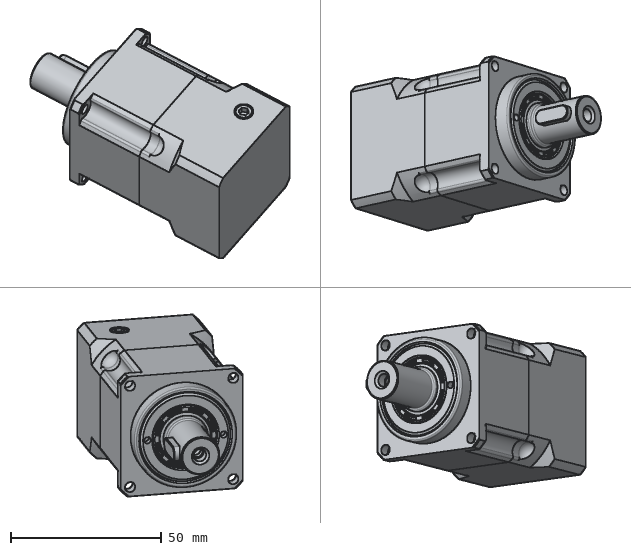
import cadquery as cq
import math


total_length = 86.0
body_width = 42.0

shaft_shoulder_x = 19.5
pilot_front_x = 20.55
flange_front_x = 26.0
flange_back_x = 29.8
housing_joint_x = 53.9
cone_start_x = 66.0
cone_end_x = 68.45

corner_radius = 28.0
waist_radius = 24.5
corner_chamfer = 0.35
pilot_radius = 17.55
pilot_fillet = 0.6

bolt_circle_radius = 25.0
bolt_hole_radius = 1.7
channel_radius = 3.5
channel_edge_radius = 0.9
channel_end_x = 57.4
bolt_offset = bolt_circle_radius / math.sqrt(2)

nut_radius = 15.5
nut_front_x = 20.6
nut_chamfer_width = 0.9
nut_chamfer_depth = 0.5
nut_seat_chamfer = 0.5
nut_bore_radius = 11.0
nut_bore_chamfer = 0.5
spanner_hole_radius = 1.1
spanner_hole_offset = 13.1
spanner_hole_depth = 2.6

seal_front_x = 20.8
seal_chamfer = 0.5
seal_pocket_outer_radius = 10.2
seal_pocket_inner_radius = 9.55
seal_pocket_depth = 0.9
seal_pocket_count = 8
seal_rib_angle = 15.0
seal_bore_radius = 8.7
seal_bore_chamfer = 0.35
seal_lip_rise = 0.3

shaft_radius = 6.5
shaft_chamfer = 0.35
shaft_fillet = 0.5
journal_fillet = 0.5
journal_radius = shaft_radius + shaft_fillet + journal_fillet
center_hole_mouth_radius = 3.0
center_hole_radius = 2.15
center_hole_depth = 4.3
drill_radius = 1.7
drill_depth = 6.9
drill_point_depth = 1.0

key_width = 5.0
key_height = 5.0
key_start_x = 2.3
key_length = 14.0
key_top_y = 8.5
key_chamfer = 0.3

plug_x = 75.6
plug_y = 9.0
plug_radius = 3.0
plug_length = 5.2
plug_chamfer = 0.35
plug_hole_chamfer = 0.2
plug_hex_across_flats = 3.0
plug_hex_depth = 2.15
plug_hex_turn = 85.0

SHAFT_END = (0, 0, 0)
SHAFT_AXIS = (1, 0, 0)
half_width = body_width / 2


def turned(profile_points):
    """Solid turned about the X axis from (x, radius) points."""
    return cq.Workplane("XY").polyline(profile_points).close().revolve(360, SHAFT_END, SHAFT_AXIS)


def disc(start_x, end_x, radius):
    """Cylinder on the X axis."""
    return cq.Workplane("YZ", origin=(start_x, 0, 0)).circle(radius).extrude(end_x - start_x)


def square_block(start_x, end_x):
    """Square bar on the X axis."""
    length = end_x - start_x
    return cq.Workplane("YZ", origin=(start_x, 0, 0)).rect(body_width, body_width).extrude(length)


def corner_channel():
    """Screw channel with rounded long edges, for the +Y +Z corner."""
    arc_center_distance = waist_radius - channel_edge_radius
    tangent_distance = channel_radius + channel_edge_radius
    center_out = (arc_center_distance**2 + bolt_circle_radius**2 - tangent_distance**2) / (
        2 * bolt_circle_radius
    )
    center_side = math.sqrt(arc_center_distance**2 - center_out**2)

    waist_scale = waist_radius / arc_center_distance
    waist_point = (center_out * waist_scale, center_side * waist_scale)
    channel_share = channel_radius / tangent_distance
    channel_point = (
        bolt_circle_radius + (center_out - bolt_circle_radius) * channel_share,
        center_side * channel_share,
    )
    toward_middle = (
        (waist_point[0] + channel_point[0]) / 2 - center_out,
        (waist_point[1] + channel_point[1]) / 2 - center_side,
    )
    middle_scale = channel_edge_radius / math.hypot(*toward_middle)
    arc_middle = (
        center_out + toward_middle[0] * middle_scale,
        center_side + toward_middle[1] * middle_scale,
    )
    bottom = (bolt_circle_radius - channel_radius, 0)
    clear_of_body = corner_radius + 0.9

    def mirrored(point):
        return (point[0], -point[1])

    section = (
        cq.Workplane("YZ", origin=(flange_back_x, 0, 0))
        .moveTo(clear_of_body, waist_point[1])
        .lineTo(*waist_point)
        .threePointArc(arc_middle, channel_point)
        .threePointArc(bottom, mirrored(channel_point))
        .threePointArc(mirrored(arc_middle), mirrored(waist_point))
        .lineTo(clear_of_body, -waist_point[1])
        .close()
    )
    channel = section.extrude(channel_end_x - flange_back_x)
    end = cq.Workplane("XY").sphere(channel_radius)
    end = end.translate((channel_end_x, bolt_circle_radius, 0))
    return channel.union(end).rotate(SHAFT_END, SHAFT_AXIS, 45)


def body_envelope():
    """Outer shape shared by the two housings: a square bar with turned corners and channels."""
    profile = turned(
        [
            (flange_front_x, 0),
            (flange_front_x, corner_radius - corner_chamfer),
            (flange_front_x + corner_chamfer, corner_radius),
            (flange_back_x - corner_chamfer, corner_radius),
            (flange_back_x, corner_radius - corner_chamfer),
            (flange_back_x, waist_radius),
            (cone_start_x, waist_radius),
            (cone_end_x, corner_radius),
            (total_length, corner_radius),
            (total_length, 0),
        ]
    )
    envelope = square_block(flange_front_x, total_length).intersect(profile)
    for corner in range(4):
        envelope = envelope.cut(corner_channel().rotate(SHAFT_END, SHAFT_AXIS, 90 * corner))
    return envelope


def make_front_housing(envelope):
    """Flange, pilot and gear section, with the seat for the nut."""
    housing = envelope.intersect(square_block(flange_front_x, housing_joint_x))
    pilot = disc(pilot_front_x, flange_front_x, pilot_radius).faces("<X").fillet(pilot_fillet)
    housing = housing.union(pilot)
    seat = turned(
        [
            (pilot_front_x, 0),
            (pilot_front_x, nut_radius + nut_seat_chamfer),
            (pilot_front_x + nut_seat_chamfer, nut_radius),
            (flange_back_x, nut_radius),
            (flange_back_x, 0),
        ]
    )
    housing = housing.cut(seat)
    bolt_holes = (
        cq.Workplane("YZ", origin=(flange_front_x, 0, 0))
        .rect(2 * bolt_offset, 2 * bolt_offset, forConstruction=True)
        .vertices()
        .circle(bolt_hole_radius)
        .extrude(flange_back_x - flange_front_x)
    )
    return housing.cut(bolt_holes)


def make_rear_housing(envelope):
    """Motor end of the body, with the hole for the screw plug."""
    housing = envelope.intersect(square_block(housing_joint_x, total_length))
    plug_hole = (
        cq.Workplane("XY", origin=(plug_x, plug_y, half_width)).circle(plug_radius).extrude(-plug_length)
    )
    plug_hole_mouth = cq.Workplane("XY").add(
        cq.Solid.makeCone(
            plug_radius + plug_hole_chamfer,
            plug_radius,
            plug_hole_chamfer,
            pnt=cq.Vector(plug_x, plug_y, half_width),
            dir=cq.Vector(0, 0, -1),
        )
    )
    return housing.cut(plug_hole).cut(plug_hole_mouth)


def make_nut():
    """Ring screwed into the pilot, with two spanner holes."""
    ring = turned(
        [
            (nut_front_x, nut_bore_radius + nut_bore_chamfer),
            (nut_front_x, nut_radius - nut_chamfer_width),
            (nut_front_x + nut_chamfer_depth, nut_radius),
            (flange_back_x, nut_radius),
            (flange_back_x, nut_bore_radius),
            (nut_front_x + nut_bore_chamfer, nut_bore_radius),
        ]
    )
    spanner_holes = (
        cq.Workplane("YZ", origin=(nut_front_x, 0, 0))
        .pushPoints([(-spanner_hole_offset, 0), (spanner_hole_offset, 0)])
        .circle(spanner_hole_radius)
        .extrude(spanner_hole_depth)
    )
    return ring.cut(spanner_holes)


def seal_pocket():
    """One arc-shaped pocket in the seal face, starting half a rib from the Y axis."""
    pocket_angle = 360 / seal_pocket_count - seal_rib_angle
    pocket = (
        cq.Workplane("XY")
        .moveTo(seal_front_x, seal_pocket_inner_radius)
        .lineTo(seal_front_x, seal_pocket_outer_radius)
        .lineTo(seal_front_x + seal_pocket_depth, seal_pocket_outer_radius)
        .lineTo(seal_front_x + seal_pocket_depth, seal_pocket_inner_radius)
        .close()
        .revolve(pocket_angle, SHAFT_END, SHAFT_AXIS)
    )
    return pocket.rotate(SHAFT_END, SHAFT_AXIS, seal_rib_angle / 2)


def make_seal():
    """Seal between the nut and the shaft, with a ring of pockets and a sloping lip."""
    lip_root_x = seal_front_x + seal_bore_chamfer
    seal = turned(
        [
            (seal_front_x, seal_bore_radius + seal_bore_chamfer),
            (seal_front_x, nut_bore_radius - seal_chamfer),
            (seal_front_x + seal_chamfer, nut_bore_radius),
            (flange_back_x, nut_bore_radius),
            (flange_back_x, journal_radius),
            (lip_root_x - seal_lip_rise, journal_radius),
            (lip_root_x, seal_bore_radius),
        ]
    )
    for index in range(seal_pocket_count):
        angle = index * 360 / seal_pocket_count
        seal = seal.cut(seal_pocket().rotate(SHAFT_END, SHAFT_AXIS, angle))
    return seal


def make_key():
    """Round-ended key standing on the +Y side of the shaft."""
    return (
        cq.Workplane("XZ", origin=(key_start_x + key_length / 2, key_top_y, 0))
        .slot2D(key_length, key_width)
        .extrude(key_height)
        .faces(">Y")
        .chamfer(key_chamfer)
    )


def make_shaft(key):
    """Output shaft with a filleted shoulder, a centre hole and the keyway."""
    fillet_start_x = shaft_shoulder_x - shaft_fillet
    fillet_top_radius = shaft_radius + shaft_fillet
    shaft_fillet_inset = shaft_fillet * math.sqrt(0.5)
    journal_fillet_inset = journal_fillet * (1 - math.sqrt(0.5))
    shaft = (
        cq.Workplane("XY")
        .lineTo(0, shaft_radius - shaft_chamfer)
        .lineTo(shaft_chamfer, shaft_radius)
        .lineTo(fillet_start_x, shaft_radius)
        .threePointArc(
            (fillet_start_x + shaft_fillet_inset, fillet_top_radius - shaft_fillet_inset),
            (shaft_shoulder_x, fillet_top_radius),
        )
        .threePointArc(
            (shaft_shoulder_x + journal_fillet_inset, journal_radius - journal_fillet_inset),
            (shaft_shoulder_x + journal_fillet, journal_radius),
        )
        .lineTo(flange_back_x, journal_radius)
        .lineTo(flange_back_x, 0)
        .close()
        .revolve(360, SHAFT_END, SHAFT_AXIS)
    )
    center_hole = turned(
        [
            (0, 0),
            (0, center_hole_mouth_radius),
            (center_hole_mouth_radius - center_hole_radius, center_hole_radius),
            (center_hole_depth, center_hole_radius),
            (center_hole_depth, drill_radius),
            (drill_depth, drill_radius),
            (drill_depth + drill_point_depth, 0),
        ]
    )
    return shaft.cut(center_hole).cut(key)


def make_plug():
    """Screw plug with a hexagon socket, flush with the top face."""
    hex_across_corners = plug_hex_across_flats / math.cos(math.radians(30))
    plug = (
        cq.Workplane("XY")
        .circle(plug_radius)
        .extrude(-plug_length)
        .faces(">Z")
        .chamfer(plug_chamfer)
    )
    socket = cq.Workplane("XY").polygon(6, hex_across_corners).extrude(-plug_hex_depth)
    socket = socket.rotate((0, 0, 0), (0, 0, 1), plug_hex_turn)
    return plug.cut(socket).translate((plug_x, plug_y, half_width))


envelope = body_envelope()
front_housing = make_front_housing(envelope)
rear_housing = make_rear_housing(envelope)
nut = make_nut()
seal = make_seal()
key = make_key()
shaft = make_shaft(key)
plug = make_plug()

result = cq.Compound.makeCompound(
    [
        front_housing.val(),
        rear_housing.val(),
        nut.val(),
        seal.val(),
        shaft.val(),
        key.val(),
        plug.val(),
    ]
)